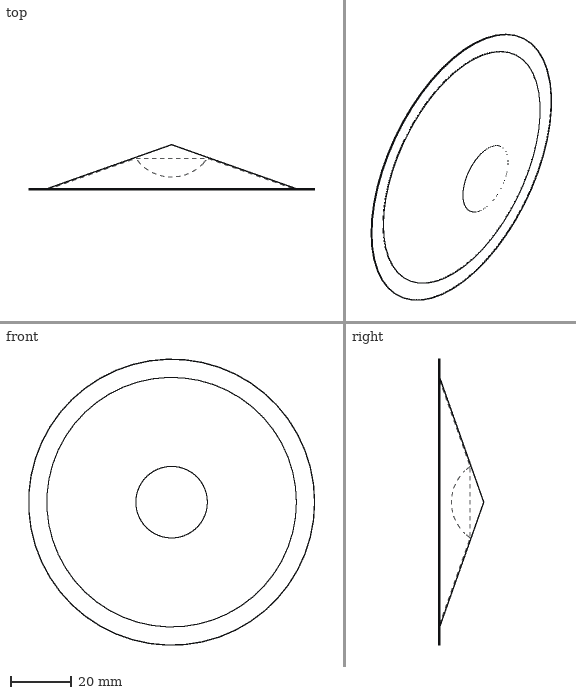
import cadquery as cq
import math

outer_radius = 47.5
total_depth = 15.0
sheet_thickness = 0.4
cone_radius = 41.4

dome_edge_radius = 11.9
ball_offset = 4.0
recess_depth = total_depth - sheet_thickness
ball_center_depth = recess_depth + ball_offset
dome_edge_depth = recess_depth * (1 - dome_edge_radius / cone_radius)
ball_radius = math.hypot(dome_edge_radius, ball_center_depth - dome_edge_depth)


def make_dish():
    """Flat rim and constant-slope conical shell, revolved about Y."""
    profile = (
        cq.Workplane("XY")
        .moveTo(outer_radius, 0)
        .lineTo(outer_radius, sheet_thickness)
        .lineTo(cone_radius, sheet_thickness)
        .lineTo(0, total_depth)
        .lineTo(0, recess_depth)
        .lineTo(cone_radius, 0)
        .close()
    )
    return profile.revolve(360, (0, 0, 0), (0, 1, 0))


def make_dome():
    """Part of the ball that lies on the open side of the cone."""
    ball = cq.Workplane("XY").sphere(ball_radius).translate((0, ball_center_depth, 0))
    recess = (
        cq.Workplane("XY")
        .polyline([(0, 0), (cone_radius, 0), (0, recess_depth)])
        .close()
        .revolve(360, (0, 0, 0), (0, 1, 0))
    )
    return ball.intersect(recess)


result = make_dish().union(make_dome())